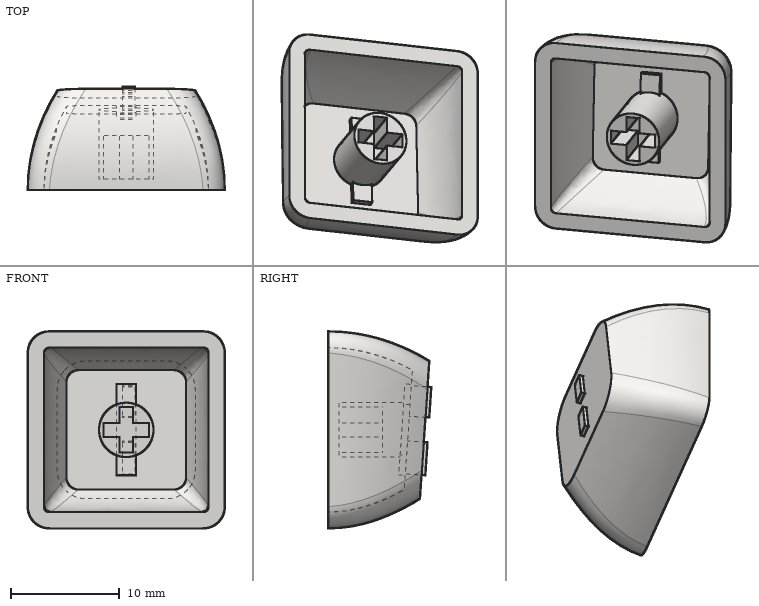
import cadquery as cq
import math

mouth_width = 18.1
mouth_corner = 2
roof_width = 12.67
roof_corner = 2.62
roof_height = 8.87
roof_tilt = 3.9

wall = 1.5
cavity_mouth_width = mouth_width - 2 * wall
cavity_mouth_corner = 0.5
cavity_roof_width = 10.97
cavity_roof_corner = 1.09
cavity_height = roof_height - wall

stem_diameter = 5.0
stem_recess = 1.0
cross_length = 4.2
cross_slot = 1.27
cross_depth = 4.0

bar_width = 1.81
bar_length = 8.36
bar_thickness = 0.6
pad_left = -0.36
pad_right = 0.8
pad_rise = 0.35
upper_pad_span = (1.25, 4.07)
lower_pad_span = (-4.05, -1.01)

loft_steps = 4


def tilted_plane(height, tilt):
    """Plane across the Y axis facing +Y, with local x along -X and local y near +Z."""
    angle = math.radians(tilt)
    return cq.Plane(
        origin=(0, height, 0),
        xDir=(-1, 0, 0),
        normal=(0, math.cos(angle), -math.sin(angle)),
    )


def domed_block(height, mouth, mouth_radius, roof, roof_radius):
    """Solid whose sides leave the mouth squarely and curve in as a parabola."""
    sections = []
    for step in range(loft_steps + 1):
        part = step / loft_steps
        width = mouth + (roof - mouth) * part**2
        corner = mouth_radius + (roof_radius - mouth_radius) * part
        sketch = cq.Sketch().rect(width, width).vertices().fillet(corner)
        plane = tilted_plane(height * part, roof_tilt * part)
        sections.append(sketch.moved(cq.Location(plane)))
    return cq.Workplane().placeSketch(*sections).loft()


def make_stem_post():
    """Round post along Y, running into the roof so that it joins the shell."""
    post_end = cavity_height + wall / 2
    face = cq.Workplane("XZ", origin=(0, stem_recess, 0))
    return face.circle(stem_diameter / 2).extrude(stem_recess - post_end)


def make_stem_socket():
    """Flat-bottomed cross that is cut into the end of the stem."""
    face = cq.Workplane("XZ", origin=(0, stem_recess, 0))
    upright = face.rect(cross_slot, cross_length).extrude(-cross_depth)
    crossbar = face.rect(cross_length, cross_slot).extrude(-cross_depth)
    return upright.union(crossbar)


def make_bar():
    """Backing bar lying against the sloping ceiling."""
    ceiling = cq.Workplane(tilted_plane(cavity_height, roof_tilt))
    return ceiling.rect(bar_width, bar_length).extrude(-bar_thickness)


def make_pad(span):
    """Pad from the ceiling through the roof to just above it."""
    low, high = span
    ceiling = cq.Workplane(tilted_plane(cavity_height, roof_tilt))
    return (
        ceiling.center(-(pad_left + pad_right) / 2, (low + high) / 2)
        .rect(pad_right - pad_left, high - low)
        .extrude(wall + pad_rise)
    )


legend = make_bar()
for pad_span in (upper_pad_span, lower_pad_span):
    legend = legend.union(make_pad(pad_span))

shell = domed_block(roof_height, mouth_width, mouth_corner, roof_width, roof_corner)
cavity = domed_block(
    cavity_height, cavity_mouth_width, cavity_mouth_corner, cavity_roof_width, cavity_roof_corner
)
cap = shell.cut(cavity).union(make_stem_post()).cut(make_stem_socket()).cut(legend)

result = cq.Compound.makeCompound([cap.val(), legend.val()])